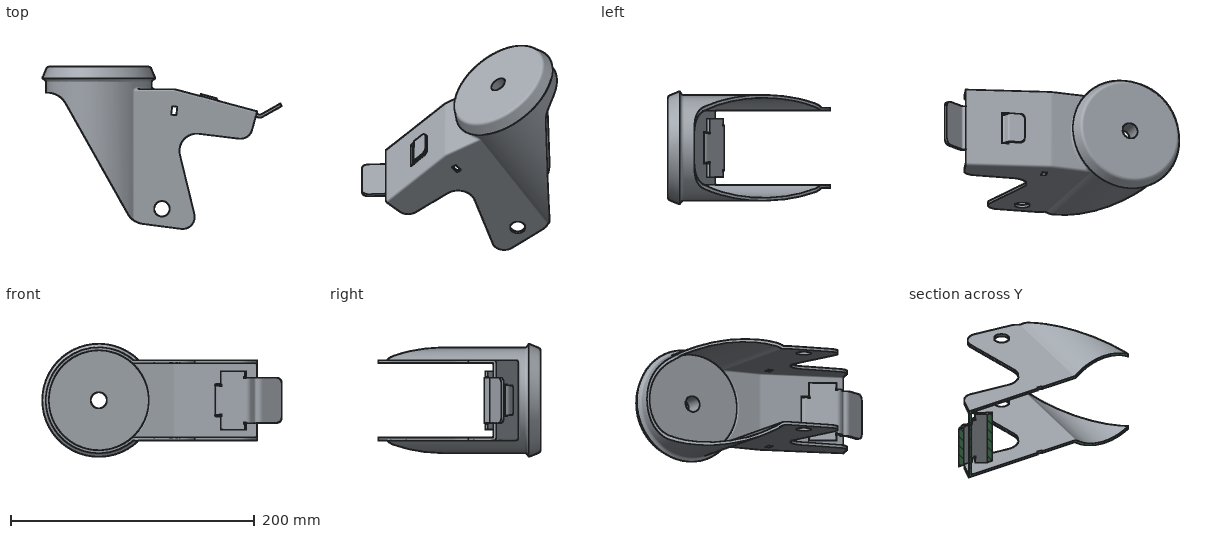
import cadquery as cq
import math


SHEET = 2.5

CUP_RADIUS = 43.5
CUP_FLOOR_Y = -19.5
CUP_BORE_RADIUS = CUP_RADIUS - SHEET
CROWN_RADIUS = 46.5
CROWN_TOP_RADIUS = 42.5
CROWN_RIM_Y = -9.7
CROWN_BASE_Y = -11.8
CROWN_TOP_ROUND = 3.0
CROWN_BASE_ROUND = 2.0
KINGPIN_HOLE_DIAMETER = 13.0

FORK_WIDTH = 66.0
FORK_GAP = FORK_WIDTH - 2 * SHEET
PLATE_TOP_Y = -18.5
PLATE_TILT = 15.0
PLATE_BEND_X = 62.0
PLATE_END_X = 130.1
PLATE_BEND_ROUND = 7.0
OUTER_FOLD_ROUND = 2.0
INNER_FOLD_ROUND = 1.0
CUP_JUNCTION_ROUND = 2.0
CUP_LIP_ROUND = 1.4
DEEP = 150.0

CUP_CUT_Y = -21.6
THROAT_CORNER = (-32.2, CUP_CUT_Y)
HEEL_CORNER = (27.75, -128.2)
LEG_TIP_CORNER = (81.9, -135.26)
NOTCH_CORNER = (61.9, -52.9)
ARM_TIP_CORNER = (123.5, -60.4)
THROAT_ROUND = 17.0
HEEL_ROUND = 17.0
LEG_TIP_ROUND = 10.0
NOTCH_ROUND = 14.0
ARM_TIP_ROUND = 10.0

WHEEL_HOLE_DIAMETER = 12.5
WHEEL_HOLE = (51.8, -116.8)
WINDOW_CENTER = (61.9, -36.3)
WINDOW_SIZE = (4.0, 6.8)
WINDOW_TILT = -7.0

SLOT_WIDTH = 26.5
SLOT_LENGTH = 5.5
SLOT_START_X = 96.0

TONGUE_WIDTH = 24.3
SHOULDER_WIDTH = 48.0
TREAD_WIDTH = 37.4
TONGUE_CORNER_ROUND = 4.0
TREAD_CORNER_ROUND = 5.0
RELIEF_DIAMETER = 1.6
SHOULDER_SLOPE = 30.0
PEDAL_LINE = [
    (83.3, -23.7, 0),
    (95.9, -27.07, 1.5),
    (97.6, -31.55, 1.5),
    (122.8, -46.1, 2.8),
    (127.9, -38.85, 2.7),
    (132.1, -41.3, 3.0),
    (149.58, -31.4, 0),
]
SHOULDER_START = (100.6, -33.3)
SHOULDER_END = (120.2, -44.6)


def plate_bend_x(depth):
    """X of the corner of the back plate, on a face a depth below its outer face."""
    return PLATE_BEND_X - depth * math.tan(math.radians(PLATE_TILT) / 2)


def plate_y(x, depth=0.0):
    """Y of the back plate at a given X, on a face a depth below its outer face."""
    run = max(0.0, x - plate_bend_x(depth))
    return PLATE_TOP_Y - depth - run * math.tan(math.radians(PLATE_TILT))


def round_edges(body, points, radius):
    """Fillet the edges nearest to the given points."""
    edges = []
    for point in points:
        edges += body.edges(cq.selectors.NearestToPointSelector(point)).vals()
    return body.newObject(edges).fillet(radius)


def cylinder_y(radius, y_low, y_high):
    """Cylinder on the swivel axis, its seam on the -X side."""
    start = cq.Workplane("XZ", origin=(0, y_low, 0))
    cylinder = start.circle(radius).extrude(y_low - y_high)
    return cylinder.rotate((0, 0, 0), (0, 1, 0), 180)


def arm_block(width, depth):
    """Block below the back plate, its top a depth below the outer face of the plate."""
    bend_x = plate_bend_x(depth)
    block = (
        cq.Workplane("XY")
        .polyline([
            (0, -DEEP),
            (0, plate_y(0, depth)),
            (bend_x, plate_y(bend_x, depth)),
            (DEEP, plate_y(DEEP, depth)),
            (DEEP, -DEEP),
        ])
        .close()
        .extrude(width / 2, both=True)
    )
    return round_edges(block, [(bend_x, plate_y(bend_x, depth), 0)], PLATE_BEND_ROUND)


def fold_points(width, depth):
    """Points on both long top edges of an arm block, on each stretch of the back plate."""
    flat_x = (PLATE_BEND_X + CUP_RADIUS) / 2
    return [
        (x, plate_y(x, depth), side * width / 2)
        for x in (flat_x, PLATE_END_X)
        for side in (-1, 1)
    ]


def crown():
    """Double-coned ring that closes the cup, rounded at the top rim."""
    ring = (
        cq.Workplane("XY")
        .moveTo(0, 0)
        .lineTo(CROWN_TOP_RADIUS, 0)
        .lineTo(CROWN_RADIUS, CROWN_RIM_Y)
        .lineTo(CUP_RADIUS, CROWN_BASE_Y)
        .lineTo(0, CROWN_BASE_Y)
        .close()
        .revolve(360, (0, 0, 0), (0, 1, 0))
    )
    ring = ring.faces(">Y").edges().fillet(CROWN_TOP_ROUND)
    return ring.rotate((0, 0, 0), (0, 1, 0), 180)


def fork_side_outline():
    """Side shape of the fork, as a prism along Z."""
    tilt = math.radians(PLATE_TILT)
    plate_end = (PLATE_END_X, plate_y(PLATE_END_X))
    above_plate_end = (PLATE_END_X + DEEP * math.sin(tilt), plate_end[1] + DEEP * math.cos(tilt))
    outline = (
        cq.Workplane("XY")
        .polyline([
            (-DEEP, CUP_CUT_Y),
            THROAT_CORNER,
            HEEL_CORNER,
            LEG_TIP_CORNER,
            NOTCH_CORNER,
            ARM_TIP_CORNER,
            plate_end,
            above_plate_end,
            (-DEEP, above_plate_end[1]),
        ])
        .close()
        .extrude(DEEP / 2, both=True)
    )
    for corner, radius in (
        (THROAT_CORNER, THROAT_ROUND),
        (HEEL_CORNER, HEEL_ROUND),
        (LEG_TIP_CORNER, LEG_TIP_ROUND),
        (NOTCH_CORNER, NOTCH_ROUND),
        (ARM_TIP_CORNER, ARM_TIP_ROUND),
    ):
        outline = round_edges(outline, [(*corner, 0)], radius)
    return outline


def fork_outside():
    """Solid fork envelope: crown, cup cylinder and arm block with all outer roundings."""
    body = arm_block(FORK_WIDTH, 0).union(cylinder_y(CUP_RADIUS, -DEEP, CROWN_BASE_Y)).union(crown())
    body = round_edges(body, [(0, CROWN_BASE_Y, 0)], CROWN_BASE_ROUND)
    body = round_edges(body, fold_points(FORK_WIDTH, 0), OUTER_FOLD_ROUND)
    junction_x = math.sqrt(CUP_RADIUS ** 2 - (FORK_WIDTH / 2) ** 2)
    junctions = [
        (junction_x, -DEEP / 2, FORK_WIDTH / 2),
        (junction_x, -DEEP / 2, -FORK_WIDTH / 2),
        ((junction_x + CUP_RADIUS) / 2, PLATE_TOP_Y, 0),
    ]
    return round_edges(body, junctions, CUP_JUNCTION_ROUND)


def fork_inside():
    """Hollow of the fork: the gap between the cheeks and the bore of the cup."""
    gap = arm_block(FORK_GAP, SHEET)
    gap = round_edges(gap, fold_points(FORK_GAP, SHEET), INNER_FOLD_ROUND)
    hollow = gap.union(cylinder_y(CUP_BORE_RADIUS, -DEEP, CUP_FLOOR_Y))
    junction_x = math.sqrt(CUP_BORE_RADIUS ** 2 - (FORK_GAP / 2) ** 2)
    cup_lip = ((junction_x + CUP_BORE_RADIUS) / 2, PLATE_TOP_Y - SHEET, 0)
    return round_edges(hollow, [cup_lip], CUP_LIP_ROUND)


def tongue_slot():
    """Slot through the sloped back plate, square to it."""
    slot = cq.Workplane("XY").box(SLOT_LENGTH, 4 * SHEET, SLOT_WIDTH)
    slot = slot.translate((SLOT_LENGTH / 2, 0, 0))
    slot = slot.rotate((0, 0, 0), (0, 0, 1), -PLATE_TILT)
    return slot.translate((SLOT_START_X, plate_y(SLOT_START_X), 0))


def cheek_windows():
    window = cq.Workplane("XY").rect(*WINDOW_SIZE).extrude(FORK_WIDTH, both=True)
    window = window.rotate((0, 0, 0), (0, 0, 1), WINDOW_TILT)
    return window.translate((*WINDOW_CENTER, 0))


def wheel_holes():
    hole = cq.Workplane("XY").center(*WHEEL_HOLE).circle(WHEEL_HOLE_DIAMETER / 2)
    return hole.extrude(FORK_WIDTH, both=True)


def make_fork(pedal):
    """Whole fork; the pedal tongue is let into the back plate where the two touch."""
    fork = fork_outside().cut(fork_inside()).intersect(fork_side_outline())
    for opening in (
        cylinder_y(KINGPIN_HOLE_DIAMETER / 2, -DEEP, 0),
        wheel_holes(),
        cheek_windows(),
        tongue_slot(),
        pedal,
    ):
        fork = fork.cut(opening)
    return fork


def bend_points(line, index, offset):
    """Start, middle and end of the bend at a corner of the line, on a face offset to its left."""
    (x0, y0, _), (x, y, radius), (x2, y2, _) = line[index - 1:index + 2]
    heading_in = math.atan2(y - y0, x - x0)
    heading_out = math.atan2(y2 - y, x2 - x)
    turn = heading_out - heading_in
    side = math.copysign(1, turn)
    tangent_length = radius * math.tan(abs(turn) / 2)
    start_x = x - tangent_length * math.cos(heading_in)
    start_y = y - tangent_length * math.sin(heading_in)
    center_x = start_x - side * radius * math.sin(heading_in)
    center_y = start_y + side * radius * math.cos(heading_in)
    arm = side * radius - offset
    return [
        (center_x + arm * math.sin(heading), center_y - arm * math.cos(heading))
        for heading in (heading_in, (heading_in + heading_out) / 2, heading_out)
    ]


def end_point(tip, neighbour, offset, forward):
    """End of a face offset to the left of the line, at its first or last point."""
    heading = math.atan2(neighbour[1] - tip[1], neighbour[0] - tip[0])
    if not forward:
        heading += math.pi
    return (tip[0] - offset * math.sin(heading), tip[1] + offset * math.cos(heading))


def bent_sheet(line, thickness, width):
    """Sheet of even thickness bent along a line in the XY plane and centred on Z = 0."""
    half = thickness / 2
    bends = range(1, len(line) - 1)
    sheet = cq.Workplane("XY").moveTo(*end_point(line[0], line[1], half, True))
    for index in bends:
        start, middle, end = bend_points(line, index, half)
        sheet = sheet.lineTo(*start).threePointArc(middle, end)
    sheet = sheet.lineTo(*end_point(line[-1], line[-2], half, False))
    sheet = sheet.lineTo(*end_point(line[-1], line[-2], -half, False))
    for index in reversed(bends):
        start, middle, end = bend_points(line, index, -half)
        sheet = sheet.lineTo(*end).threePointArc(middle, start)
    sheet = sheet.lineTo(*end_point(line[0], line[1], -half, True))
    return sheet.close().extrude(width / 2, both=True)


def shoulder_frame(point):
    """Workplane lying in the sloped shoulder: local X runs down the slope, local Y along Z."""
    slope = math.radians(SHOULDER_SLOPE)
    plane = cq.Plane(
        origin=(*point, 0),
        xDir=(math.cos(slope), -math.sin(slope), 0),
        normal=(-math.sin(slope), -math.cos(slope), 0),
    )
    return cq.Workplane(plane)


def make_pedal():
    """Tongue, wide sloped shoulder and tread, in one bent strip."""
    sheet = bent_sheet(PEDAL_LINE, SHEET, SHOULDER_WIDTH)
    tongue_strip = (SHOULDER_WIDTH - TONGUE_WIDTH) / 2
    tread_strip = (SHOULDER_WIDTH - TREAD_WIDTH) / 2
    for side in (-1, 1):
        beside_tongue = (
            shoulder_frame(SHOULDER_START)
            .center(-DEEP / 2, side * (TONGUE_WIDTH + tongue_strip) / 2)
            .rect(DEEP, tongue_strip)
            .extrude(DEEP, both=True)
        )
        beside_tread = (
            shoulder_frame(SHOULDER_END)
            .center(DEEP / 2, side * (TREAD_WIDTH + tread_strip) / 2)
            .rect(DEEP, tread_strip)
            .extrude(DEEP, both=True)
        )
        sheet = sheet.cut(beside_tongue).cut(beside_tread)
        for corner, width in ((SHOULDER_START, TONGUE_WIDTH), (SHOULDER_END, TREAD_WIDTH)):
            relief = shoulder_frame(corner).center(0, side * width / 2).circle(RELIEF_DIAMETER / 2)
            sheet = sheet.cut(relief.extrude(2 * SHEET, both=True))
    for tip, width, radius in (
        (PEDAL_LINE[0], TONGUE_WIDTH, TONGUE_CORNER_ROUND),
        (PEDAL_LINE[-1], TREAD_WIDTH, TREAD_CORNER_ROUND),
    ):
        corners = [(tip[0], tip[1], side * width / 2) for side in (-1, 1)]
        sheet = round_edges(sheet, corners, radius)
    return sheet


pedal = make_pedal()
fork = make_fork(pedal)

result = cq.Compound.makeCompound([fork.val(), pedal.val()])